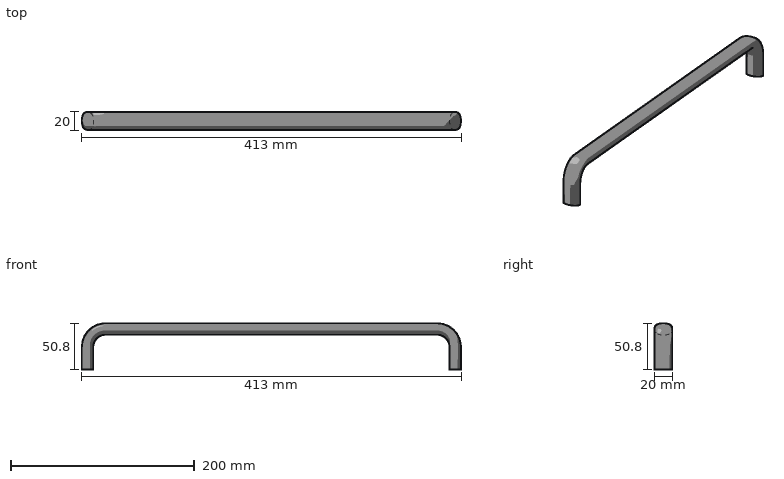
import cadquery as cq
import math

length = 413.0
height = 50.8

bar_width = 20.0
bar_thickness = 13.0
side_radius = 5.5
side_half_angle = math.asin(0.6)
corner_radius = 6.5

bend_radius = 20.0
half_span = (length - bar_thickness) / 2
leg_height = height - bar_thickness / 2 - bend_radius


def polar(center, radius, angle):
    """Point on a circle, with the angle measured from +Y towards +X."""
    return (center[0] + radius * math.sin(angle), center[1] + radius * math.cos(angle))


def bar_section(center_x):
    """Oval of eight tangent arcs: two broad faces, two sides, four corners."""
    half_thickness = bar_thickness / 2
    side_center = (0, bar_width / 2 - side_radius)
    corner_center = polar(side_center, side_radius - corner_radius, side_half_angle)

    offset = corner_center[0] - half_thickness
    face_radius = (corner_radius**2 - offset**2 - corner_center[1] ** 2) / (2 * (offset + corner_radius))
    face_center_x = half_thickness - face_radius
    face_angle = math.atan2(corner_center[0] - face_center_x, corner_center[1])

    seam_side = polar(side_center, side_radius, side_half_angle)
    corner_middle = polar(corner_center, corner_radius, (side_half_angle + face_angle) / 2)
    seam_face = polar(corner_center, corner_radius, face_angle)

    def place(point, sign_x, sign_y):
        return (center_x + sign_x * point[0], sign_y * point[1])

    section = cq.Workplane("XY").moveTo(*place(seam_side, -1, 1))
    for sign in (1, -1):
        side_middle = place((0, bar_width / 2), sign, sign)
        face_middle = place((half_thickness, 0), sign, sign)
        section = (
            section.threePointArc(side_middle, place(seam_side, sign, sign))
            .threePointArc(place(corner_middle, sign, sign), place(seam_face, sign, sign))
            .threePointArc(face_middle, place(seam_face, sign, -sign))
            .threePointArc(place(corner_middle, sign, -sign), place(seam_side, sign, -sign))
        )
    return section.close()


def handle_path():
    """Up one leg, around a bend, along the grip and down the other leg."""
    grip_z = leg_height + bend_radius
    grip_end = half_span - bend_radius
    bend_middle_x = grip_end + bend_radius * math.sqrt(0.5)
    bend_middle_z = leg_height + bend_radius * math.sqrt(0.5)
    return (
        cq.Workplane("XZ")
        .moveTo(-half_span, 0)
        .lineTo(-half_span, leg_height)
        .threePointArc((-bend_middle_x, bend_middle_z), (-grip_end, grip_z))
        .lineTo(grip_end, grip_z)
        .threePointArc((bend_middle_x, bend_middle_z), (half_span, leg_height))
        .lineTo(half_span, 0)
    )


result = bar_section(-half_span).sweep(handle_path())